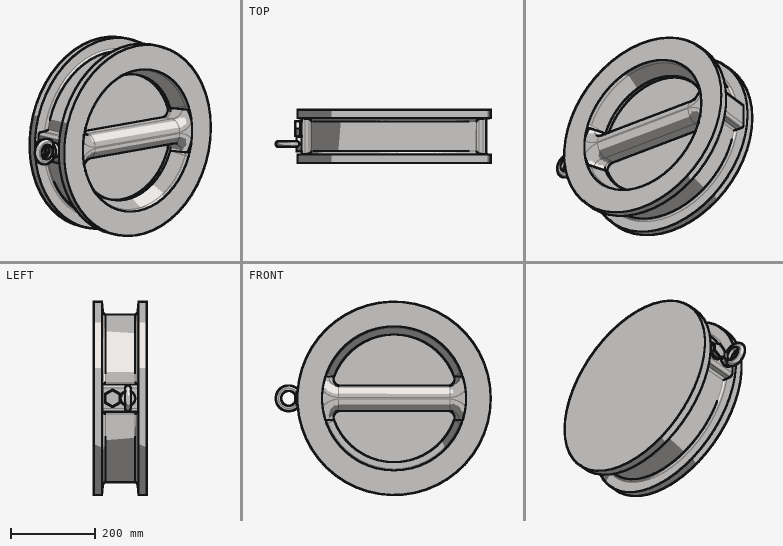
import cadquery as cq
import math

body_length = 127.0
flange_diameter = 461.0
flange_rim_thickness = 20.0
flange_draft_depth = 3.0
neck_diameter = 400.0
neck_fillet = 6.0

bore_diameter = 343.0
recess_depth = 57.0
recess_floor_step = 10.0
recess_floor_radius = 152.0
recess_lip_radius = 168.0
recess_lip_depth = 9.0
bar_width = 60.0
bar_flat_width = 3.0
bar_fillet = (bar_width - bar_flat_width) / 2
bar_setback = 0.5
bar_end_half_width = 52.0
corner_floor_radius = 16.0
corner_front_radius = 22.0

pad_reach = 220.0
pad_height = 66.0
pad_corner_fillet = 8.5

fitting_offset = 18.25
plug_collar_diameter = 33.25
plug_collar_height = 4.0
plug_head_height = 12.0
plug_across_flats = 36.0
plug_head_chamfer = 1.0
eye_base_diameter = 35.0
eye_base_height = 12.5
eye_hole_diameter = 35.0
eye_thickness = 13.5
eye_outer_diameter = 62.0
eye_tip_x = -282.0

flange_radius = flange_diameter / 2
neck_radius = neck_diameter / 2
bore_radius = bore_diameter / 2
front_y = -body_length / 2
rim_inner_y = body_length / 2 - flange_rim_thickness
root_y = rim_inner_y - flange_draft_depth
selection_margin = 1.0


def turned_body():
    """Flanged drum; the inner flange faces slope towards the neck."""
    half_length = body_length / 2
    profile = [
        (0, -half_length),
        (flange_radius, -half_length),
        (flange_radius, -rim_inner_y),
        (neck_radius, -root_y),
        (neck_radius, root_y),
        (flange_radius, rim_inner_y),
        (flange_radius, half_length),
        (0, half_length),
    ]
    return cq.Workplane("XY").polyline(profile).close().revolve(360, (0, 0, 0), (0, 1, 0))


def side_pads():
    """One bar across the body whose rounded ends stand out as the two pads."""
    pads = cq.Workplane("XY").box(2 * pad_reach, 2 * rim_inner_y, pad_height)
    return pads.edges("|Y").fillet(pad_corner_fillet)


def edges_within(shape, reach, y_low, y_high):
    """Edges lying wholly inside a square box around the Y axis."""
    limit = reach + selection_margin
    box = cq.selectors.BoxSelector(
        (-limit, y_low - selection_margin, -limit),
        (limit, y_high + selection_margin, limit),
        boundingbox=True,
    )
    return shape.edges(box)


def neck_root_edges(body):
    """Edges bounding the neck surface, where it meets the flanges and pads."""
    return edges_within(body, neck_radius, -root_y, root_y)


def segment_outline(depth, radius, corner):
    """Circular segment above the bar with rounded corners, at a depth below the front face."""
    bar_half = bar_width / 2
    corner_z = bar_half + corner
    center_distance = radius - corner
    corner_x = math.sqrt(center_distance**2 - corner_z**2)
    tip_x = corner_x * radius / center_distance
    tip_z = corner_z * radius / center_distance
    middle_angle = (math.atan2(corner_z, corner_x) - math.pi / 2) / 2
    middle_x = corner_x + corner * math.cos(middle_angle)
    middle_z = corner_z + corner * math.sin(middle_angle)
    return (
        cq.Workplane("XZ", origin=(0, front_y + depth, 0))
        .moveTo(-corner_x, bar_half)
        .lineTo(corner_x, bar_half)
        .threePointArc((middle_x, middle_z), (tip_x, tip_z))
        .threePointArc((0, radius), (-tip_x, tip_z))
        .threePointArc((-middle_x, middle_z), (-corner_x, bar_half))
        .close()
    )


def segment_between(lower, upper):
    """Ruled solid between two (depth, radius, corner) segment outlines."""
    wires = [segment_outline(*section).val() for section in (lower, upper)]
    return cq.Workplane(cq.Solid.makeLoft(wires, True))


def with_mirror_half(upper_half):
    """The given shape together with its mirror image below the bar."""
    return upper_half.union(upper_half.mirror("XY"))


floor_section = (recess_depth, recess_floor_radius, corner_floor_radius)
step_section = (recess_depth - recess_floor_step, recess_floor_radius, corner_floor_radius)
lip_section = (recess_lip_depth, recess_lip_radius, corner_front_radius)
front_section = (0, bore_radius, corner_front_radius)
bar_top_section = (bar_setback, bore_radius, corner_front_radius)


def front_cylinder(radius, setback):
    """Cylinder from mid-length to a setback behind the front face."""
    return cq.Workplane("XZ").circle(radius).extrude(-front_y - setback)


def sharp_insert():
    """Round plug with the two half recesses, edges left sharp."""
    upper = segment_between(floor_section, step_section)
    upper = upper.union(segment_between(step_section, lip_section))
    upper = upper.union(segment_between(lip_section, front_section))
    return front_cylinder(bore_radius, 0).cut(with_mirror_half(upper))


def rounded_insert():
    """Same plug with a large round-over along the bar and around its ends."""
    upper = segment_between(floor_section, step_section)
    upper = upper.union(segment_between(step_section, bar_top_section))
    blank = front_cylinder(flange_radius, bar_setback).cut(with_mirror_half(upper))
    bar_top_y = front_y + bar_setback
    rounded = edges_within(blank, bore_radius, bar_top_y, bar_top_y).fillet(bar_fillet)
    return rounded.intersect(front_cylinder(bore_radius, bar_setback))


def recess_insert():
    """Rounded plug near the bar, sharp plug in the rest of the bore."""
    bar_zone = cq.Workplane("XY").box(2 * flange_radius, 2 * body_length, 2 * bar_end_half_width)
    return sharp_insert().cut(bar_zone).union(rounded_insert().intersect(bar_zone))


def plug():
    """Hexagonal plug with a round collar; points of the hexagon face +Z and -Z."""
    head_x = -pad_reach - plug_collar_height
    across_corners = plug_across_flats / math.cos(math.pi / 6)
    at_pad = cq.Workplane("YZ", origin=(-pad_reach, fitting_offset, 0))
    collar = at_pad.circle(plug_collar_diameter / 2).extrude(-plug_collar_height)
    head = (
        cq.Workplane("YZ", origin=(head_x, fitting_offset, 0))
        .transformed(rotate=(0, 0, 90))
        .polygon(6, across_corners)
        .extrude(-plug_head_height)
        .faces("<X")
        .chamfer(plug_head_chamfer)
    )
    return collar.union(head)


def lifting_eye():
    """Round foot carrying a flat-sided ring with a half-round rim, lying in the XZ plane."""
    half = eye_thickness / 2
    outer = eye_outer_diameter / 2
    hole = eye_hole_diameter / 2
    ring_x = eye_tip_x + outer
    foot = (
        cq.Workplane("YZ", origin=(-pad_reach, -fitting_offset, 0))
        .circle(eye_base_diameter / 2)
        .extrude(-eye_base_height)
    )
    ring = (
        cq.Workplane("XY", origin=(ring_x, -fitting_offset, 0))
        .moveTo(hole, -half)
        .lineTo(outer - half, -half)
        .radiusArc((outer, 0), -half)
        .radiusArc((outer - half, half), -half)
        .lineTo(hole, half)
        .close()
        .revolve(360, (0, 0, 0), (0, 1, 0))
    )
    return foot.union(ring)


body = turned_body().union(side_pads())
body = neck_root_edges(body).fillet(neck_fillet)
body = body.cut(front_cylinder(bore_radius, 0)).union(recess_insert())
result = body.union(plug()).union(lifting_eye())